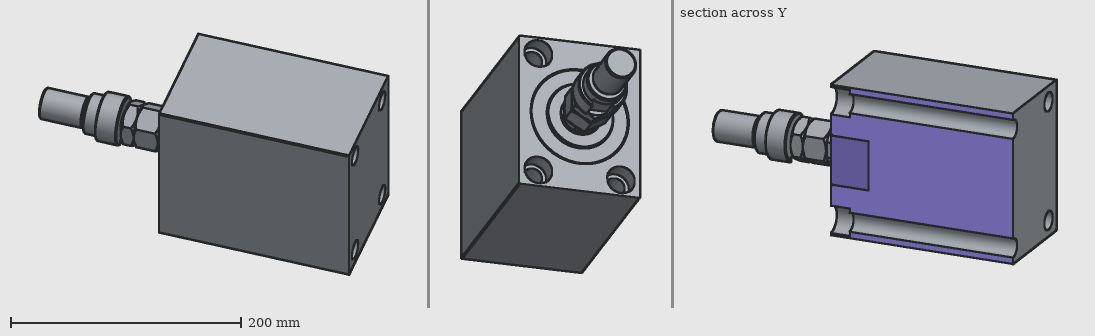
import cadquery as cq
import math


overall_length = 297.5
block_width = 110.0
block_height = 140.0
block_edge_chamfer = 1.0
bolt_spacing_y = 75.0
bolt_spacing_z = 110.0
bolt_hole_radius = 8.5
bolt_head_radius = 12.5
bolt_head_depth = 17.8

pin_end = 39.5
disc_start = 41.5
slot_start = 50.5
collar_start = 53.8
collar_end = 73.5
nut_start = 76.5
hex_start = 88.5
hex_end = 110.5
flats_end = 118.5
boss_start = 121.0
block_front = 123.8

gland_radius = 43.7
gland_depth = 35.7
gland_end = block_front + gland_depth
gland_rim_chamfer = 1.0
boss_radius = 30.0
boss_chamfer = 1.0

rod_radius = 18.0
flats_radius = 17.5
flats_width = 32.0
stud_hole_depth = 17.8
stud_end = hex_start + stud_hole_depth

hex_width = 36.0
hex_corner_radius = hex_width / math.sqrt(3)
hex_chamfer_length = 2.5
hex_face_radius = 17.8

pin_radius = 14.0
pin_neck_radius = 12.2
pin_disc_chamfer = 1.2
disc_radius = 18.0
collar_radius = 22.0
collar_chamfer = 1.0
slot_width = 19.0
slot_floor_radius = 15.0
stud_radius = 9.5


def cylinder(start, end, radius):
    """Solid cylinder on the X axis between two axial positions."""
    return cq.Workplane("YZ", origin=(start, 0, 0)).circle(radius).extrude(end - start)


def turned(profile):
    """Solid of revolution about X from (axial position, radius) points."""
    points = [(profile[0][0], 0), *profile, (profile[-1][0], 0)]
    return cq.Workplane("XY").polyline(points).close().revolve(360, (0, 0, 0), (1, 0, 0))


def chamfered_hexagon(start, end):
    """Hexagon with flats at +Y and -Y, its corners turned off at both ends."""
    prism = (
        cq.Workplane("YZ", origin=(start, 0, 0))
        .polygon(6, 2 * hex_corner_radius)
        .extrude(end - start)
        .rotate((0, 0, 0), (1, 0, 0), 90)
    )
    envelope = turned([
        (start, hex_face_radius),
        (start + hex_chamfer_length, hex_corner_radius),
        (end - hex_chamfer_length, hex_corner_radius),
        (end, hex_face_radius),
    ])
    return prism.intersect(envelope)


def make_block():
    """Rectangular block with four counterbored bolt holes and a recess for the gland."""
    length = overall_length - block_front
    block = (
        cq.Workplane("XY")
        .box(length, block_width, block_height, centered=(False, True, True))
        .translate((block_front, 0, 0))
        .edges("|X")
        .chamfer(block_edge_chamfer)
    )
    bolt_centres = [
        (side_y * bolt_spacing_y / 2, side_z * bolt_spacing_z / 2)
        for side_y in (-1, 1)
        for side_z in (-1, 1)
    ]
    front = cq.Workplane("YZ", origin=(block_front, 0, 0)).pushPoints(bolt_centres)
    bolt_holes = front.circle(bolt_hole_radius).extrude(length)
    head_recesses = front.circle(bolt_head_radius).extrude(bolt_head_depth)
    gland_recess = turned([
        (block_front, gland_radius + gland_rim_chamfer),
        (block_front + gland_rim_chamfer, gland_radius),
        (gland_end, gland_radius),
    ])
    return block.cut(bolt_holes).cut(head_recesses).cut(gland_recess)


def make_gland():
    """Gland flush with the block front, with a raised boss and a bore for the rod."""
    body = turned([
        (boss_start, boss_radius - boss_chamfer),
        (boss_start + boss_chamfer, boss_radius),
        (block_front, boss_radius),
        (block_front, gland_radius),
        (gland_end, gland_radius),
    ])
    return body.cut(cylinder(boss_start, gland_end, rod_radius))


def make_rod():
    """Piston rod with four wrench flats, a hexagonal end and a blind hole for the stud."""
    shaft = cylinder(flats_end, gland_end, rod_radius)
    square = (
        cq.Workplane("YZ", origin=(hex_end, 0, 0))
        .rect(flats_width, flats_width)
        .extrude(flats_end - hex_end)
    )
    wrench_section = cylinder(hex_end, flats_end, flats_radius).intersect(square)
    rod = shaft.union(wrench_section).union(chamfered_hexagon(hex_start, hex_end))
    return rod.cut(cylinder(hex_start, stud_end, stud_radius))


def make_lock_nut():
    """Thin hexagonal nut on the stud, against the rod end."""
    return chamfered_hexagon(nut_start, hex_start).cut(cylinder(nut_start, hex_start, stud_radius))


def make_coupling():
    """Pin, disc and collar on a stud, with a slot along the underside of disc and collar."""
    coupling = turned([
        (0, pin_radius - pin_disc_chamfer),
        (pin_disc_chamfer, pin_radius),
        (pin_end - pin_disc_chamfer, pin_radius),
        (pin_end, pin_neck_radius),
        (disc_start, pin_neck_radius),
        (disc_start, disc_radius - pin_disc_chamfer),
        (disc_start + pin_disc_chamfer, disc_radius),
        (collar_start, disc_radius),
        (collar_start, collar_radius - collar_chamfer),
        (collar_start + collar_chamfer, collar_radius),
        (collar_end - collar_chamfer, collar_radius),
        (collar_end, collar_radius - collar_chamfer),
        (collar_end, stud_radius),
        (stud_end, stud_radius),
    ])
    slot = (
        cq.Workplane("XY")
        .box(collar_end - slot_start, slot_width, collar_radius, centered=(False, True, False))
        .translate((slot_start, 0, -slot_floor_radius - collar_radius))
    )
    return coupling.cut(slot)


block = make_block()
gland = make_gland()
rod = make_rod()
lock_nut = make_lock_nut()
coupling = make_coupling()

result = cq.Compound.makeCompound([
    block.val(),
    gland.val(),
    rod.val(),
    lock_nut.val(),
    coupling.val(),
])